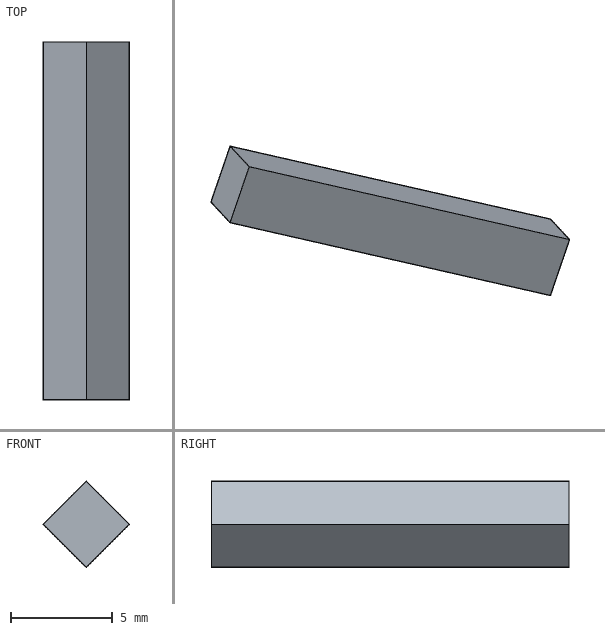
import cadquery as cq

side = 3.0
length = 17.6
turn_angle = 45.0

bar = cq.Workplane("XY").box(side, length, side)
result = bar.rotate((0, 0, 0), (0, 1, 0), turn_angle)